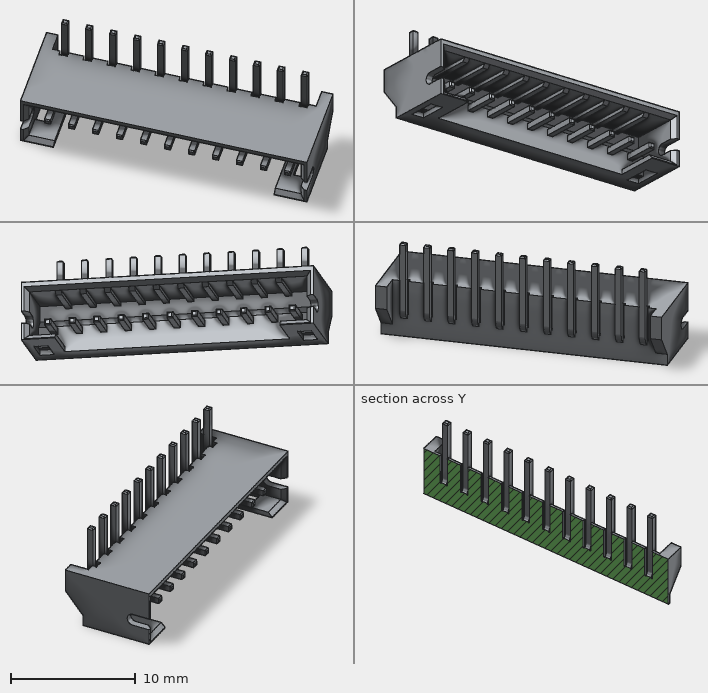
import cadquery as cq


body_length = 23.9
body_height = 4.8
body_depth = 6.0
overall_depth = 7.6

wing_thickness = 0.95
wing_slope_bottom = 0.95
wing_slope_top = 2.85

side_wall = 0.6
floor_thickness = 0.43
ceiling_thickness = 0.75
mouth_chamfer = 0.35
lower_wall_depth = 4.02
wall_slope_bottom = 2.13
wall_slope_height = 0.65
upper_wall_depth = lower_wall_depth + wall_slope_height
cavity_length = body_length - 2 * side_wall
cavity_height = body_height - floor_thickness - ceiling_thickness
cavity_top = floor_thickness + cavity_height

floor_slot_length = 18.4
corner_window_front = 2.13
corner_window_length = 1.15
side_notch_depth = 1.98
side_notch_height = 1.0
side_notch_centre_z = 1.9

pin_count = 11
pin_row_span = 20.0
pin_pitch = pin_row_span / (pin_count - 1)
pin_width = 0.5
pin_centre_z = 1.7
pin_tip_depth = 1.0
pin_top = 8.2
pin_tip_chamfer = 0.1
bend_inner_radius = 0.45
bend_outer_radius = bend_inner_radius + pin_width

pin_notch_width = 0.7
pin_notch_depth = 0.38

rib_width = 0.5
rib_height = 0.3
rib_front = 0.38


def box(length, depth, height, x, y, z):
    """Box centred on x, starting at y and z."""
    return cq.Workplane("XY").box(length, depth, height, centered=(True, False, False)).translate((x, y, z))


def extrude_along_x(profile, length, x):
    """Extrude a closed Y-Z profile to a length centred on x."""
    return profile.extrude(length / 2, both=True).translate((x, 0, 0))


def row_positions(count):
    """X positions of a centred row at the pin pitch."""
    return [(i - (count - 1) / 2) * pin_pitch for i in range(count)]


def make_wing(x):
    """Wing behind the housing with its lower rear corner sloped off."""
    profile = cq.Workplane("YZ").polyline([
        (body_depth, wing_slope_bottom),
        (overall_depth, wing_slope_top),
        (overall_depth, body_height),
        (body_depth, body_height),
    ]).close()
    return extrude_along_x(profile, wing_thickness, x)


def make_cavity():
    """Cavity with a sloped step in its back wall and a chamfered mouth."""
    profile = cq.Workplane("YZ").polyline([
        (0, floor_thickness),
        (lower_wall_depth, floor_thickness),
        (lower_wall_depth, wall_slope_bottom),
        (upper_wall_depth, wall_slope_bottom + wall_slope_height),
        (upper_wall_depth, cavity_top),
        (0, cavity_top),
    ]).close()
    mouth = (
        cq.Workplane("XZ", origin=(0, 0, floor_thickness + cavity_height / 2))
        .rect(cavity_length + 2 * mouth_chamfer, cavity_height + 2 * mouth_chamfer)
        .workplane(offset=-mouth_chamfer)
        .rect(cavity_length, cavity_height)
        .loft(ruled=True)
    )
    return extrude_along_x(profile, cavity_length, 0).union(mouth)


def make_side_notch():
    """Round-ended notch through both side walls, open at the mating face."""
    radius = side_notch_height / 2
    straight = side_notch_depth - radius
    bottom = side_notch_centre_z - radius
    top = side_notch_centre_z + radius
    profile = (
        cq.Workplane("YZ")
        .moveTo(0, bottom)
        .lineTo(straight, bottom)
        .threePointArc((side_notch_depth, side_notch_centre_z), (straight, top))
        .lineTo(0, top)
        .close()
    )
    return extrude_along_x(profile, body_length, 0)


def make_rib(x):
    """Ceiling rib with a sloped front end, running to the upper back wall."""
    profile = cq.Workplane("YZ").polyline([
        (rib_front, cavity_top),
        (rib_front + rib_height, cavity_top - rib_height),
        (upper_wall_depth, cavity_top - rib_height),
        (upper_wall_depth, cavity_top),
    ]).close()
    return extrude_along_x(profile, rib_width, x)


def make_pin(x):
    """Square pin running back through the wall and bending upward behind it."""
    half = pin_width / 2
    outer_y = body_depth + pin_width
    bottom_z = pin_centre_z - half
    top_z = pin_centre_z + half
    blank = (
        cq.Workplane("YZ")
        .polyline([
            (pin_tip_depth, bottom_z),
            (outer_y, bottom_z),
            (outer_y, pin_top),
            (body_depth, pin_top),
            (body_depth, top_z),
            (pin_tip_depth, top_z),
        ])
        .close()
    )
    pin = extrude_along_x(blank, pin_width, 0)
    pin = pin.edges(cq.selectors.NearestToPointSelector((0, outer_y, bottom_z))).fillet(bend_outer_radius)
    pin = pin.edges(cq.selectors.NearestToPointSelector((0, body_depth, top_z))).fillet(bend_inner_radius)
    pin = pin.faces("<Y or >Z").edges().chamfer(pin_tip_chamfer)
    return pin.translate((x, 0, 0))


housing = box(body_length, body_depth, body_height, 0, 0, 0)
wing_x = (body_length - wing_thickness) / 2
for side in (-1, 1):
    housing = housing.union(make_wing(side * wing_x))

housing = housing.cut(make_cavity()).cut(make_side_notch())
housing = housing.cut(box(floor_slot_length, lower_wall_depth, floor_thickness, 0, 0, 0), clean=False)
window_depth = upper_wall_depth - corner_window_front
window_x = (cavity_length - corner_window_length) / 2
for side in (-1, 1):
    window = box(corner_window_length, window_depth, floor_thickness, side * window_x, corner_window_front, 0)
    housing = housing.cut(window, clean=False)

notch_bottom = pin_centre_z + pin_width / 2
notch_height = body_height - notch_bottom
notch_front = body_depth - pin_notch_depth
for x in row_positions(pin_count):
    notch = box(pin_notch_width, pin_notch_depth, notch_height, x, notch_front, notch_bottom)
    housing = housing.cut(notch, clean=False)

result = housing
for x in row_positions(pin_count - 1):
    result = result.union(make_rib(x), clean=False)
for x in row_positions(pin_count):
    result = result.union(make_pin(x), clean=False)